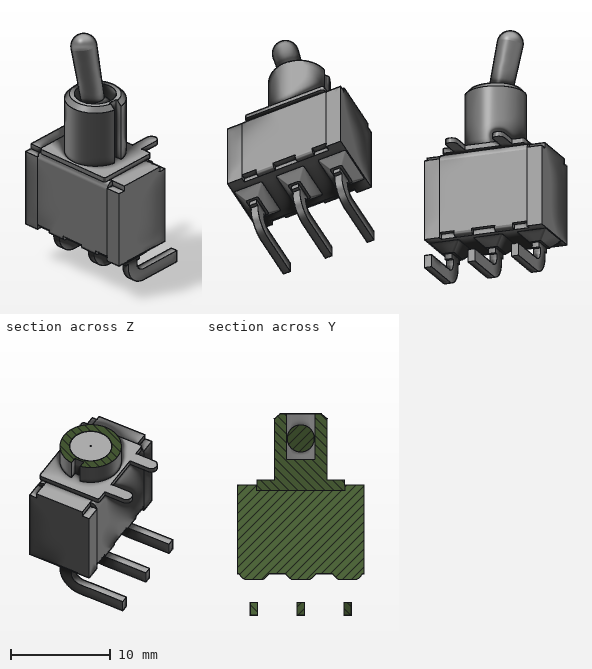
import cadquery as cq
import math

overall_height = 26.43

case_length = 12.7
case_depth = 6.87
case_bottom = 4.18
case_top = 13.1
wall_inner_x = 4.73
corner_step = 0.55

terminal_pitch = 4.7
dome_length = 3.12
dome_depth = 4.33
dome_height = 0.93
dome_inset = 0.9
dome_edge_radius = 0.26

sheet_thickness = 0.55
sheet_bend_radius = 0.8
sheet_bottom = 4.7
tab_length = 1.93
tab_x = 2.2
tab_edge_radius = 0.4
plate_length = 8.83
plate_thickness = 0.5
plate_corner_radius = 0.26
leg_x = 2.55
leg_width = 1.22
leg_tip_y = 6.15

bushing_diameter = 6.2
bushing_height = 6.63
bushing_chamfer = 0.5
bore_diameter = 4.2
keyway_width = 0.98
keyway_floor_x = 2.35

lever_tilt = 12.0
lever_tip_radius = 1.32
lever_root_radius = 1.14
lever_length = 7.5

terminal_thickness = 0.77
shoulder_width = 2.0
shoulder_height = 0.55
terminal_width = 1.3
terminal_bend_radius = 1.0
terminal_end_y = 6.58

half_depth = case_depth / 2
core_half_depth = half_depth - sheet_thickness
core_top = case_top - sheet_thickness
step_y = half_depth - sheet_bend_radius
plate_half = plate_length / 2
plate_top = case_top + plate_thickness
bushing_top = plate_top + bushing_height
dome_bottom = case_bottom - dome_height
ball_radius = bore_diameter / 2
tilt = math.radians(lever_tilt)
pivot_z = overall_height - lever_tip_radius - lever_length * math.cos(tilt)
terminal_xs = [-terminal_pitch, 0, terminal_pitch]


def block(x_range, y_range, z_range):
    """Box between two corners, given as (low, high) pairs."""
    size = [high - low for low, high in (x_range, y_range, z_range)]
    corner = (x_range[0], y_range[0], z_range[0])
    return cq.Workplane("XY").box(*size, centered=False).translate(corner)


def across(half_length, y_half, z_range):
    """Box centred on the bushing axis."""
    return block((-half_length, half_length), (-y_half, y_half), z_range)


def tapered_bar(plane, width, length):
    """Bar along the plane normal, with the dome's sloping sides as its section."""
    half_top = width / 2
    half_bottom = half_top - dome_inset
    return (
        cq.Workplane(plane)
        .polyline(
            [(-half_top, 0), (half_top, 0), (half_bottom, -dome_height), (-half_bottom, -dome_height)]
        )
        .close()
        .extrude(length / 2, both=True)
    )


def make_dome(x):
    """Tapered block with rounded slanting edges, hanging under the case."""
    dome = tapered_bar("XZ", dome_length, dome_depth).intersect(
        tapered_bar("YZ", dome_depth, dome_length)
    )
    dome = dome.edges("not(#Z)").fillet(dome_edge_radius)
    return dome.translate((x, 0, case_bottom))


def make_case():
    """Core inside the cover, two proud end walls, raised end blocks and terminal domes."""
    half_length = case_length / 2
    case = (
        across(half_length, core_half_depth, (case_bottom, core_top))
        .edges("|X and >Z")
        .fillet(sheet_bend_radius - sheet_thickness)
    )
    for side in (-1, 1):
        wall_ends = sorted((side * wall_inner_x, side * half_length))
        wall = block(wall_ends, (-half_depth, half_depth), (case_bottom, case_top - corner_step))
        block_ends = sorted((side * plate_half, side * half_length))
        raised_block = block(block_ends, (-step_y, step_y), (case_bottom, case_top))
        case = case.union(wall).union(raised_block)
    for x in terminal_xs:
        case = case.union(make_dome(x))
    return case


def make_cover():
    """Sheet bent over the core, notched at the ends around the raised blocks."""
    outside = (
        across(wall_inner_x, half_depth, (sheet_bottom, case_top))
        .edges("|X and >Z")
        .fillet(sheet_bend_radius)
    )
    inside = (
        across(wall_inner_x, core_half_depth, (sheet_bottom, core_top))
        .edges("|X and >Z")
        .fillet(sheet_bend_radius - sheet_thickness)
    )
    cover = outside.cut(inside)
    for side in (-1, 1):
        ends = sorted((side * plate_half, side * wall_inner_x))
        cover = cover.cut(block(ends, (-step_y, step_y), (core_top, case_top)))
    for x in (-tab_x, tab_x):
        tab = block(
            (x - tab_length / 2, x + tab_length / 2),
            (-half_depth, -core_half_depth),
            (case_bottom, sheet_bottom),
        )
        tab = tab.edges("|X and <Z and <Y").fillet(tab_edge_radius)
        cover = cover.union(tab).union(tab.mirror("XZ"))
    return cover


def make_plate():
    """Mounting plate with two round-ended legs pointing to +Y."""
    plate = (
        across(plate_half, half_depth, (case_top, plate_top))
        .edges("|Z")
        .fillet(plate_corner_radius)
    )
    for x in (-leg_x, leg_x):
        leg = block(
            (x - leg_width / 2, x + leg_width / 2),
            (0, leg_tip_y - leg_width / 2),
            (case_top, plate_top),
        )
        tip = (
            cq.Workplane("XY", origin=(x, leg_tip_y - leg_width / 2, case_top))
            .circle(leg_width / 2)
            .extrude(plate_thickness)
        )
        plate = plate.union(leg).union(tip)
    return plate


def make_bushing():
    """Chamfered sleeve, bored down to the bottom of the lever ball, with a keyway on +X."""
    bushing = (
        cq.Workplane("XY", origin=(0, 0, plate_top))
        .circle(bushing_diameter / 2)
        .extrude(bushing_height)
        .faces(">Z")
        .chamfer(bushing_chamfer)
    )
    bore = (
        cq.Workplane("XY", origin=(0, 0, pivot_z - ball_radius))
        .circle(bore_diameter / 2)
        .extrude(bushing_top - pivot_z + ball_radius)
    )
    keyway = block(
        (keyway_floor_x, bushing_diameter / 2),
        (-keyway_width / 2, keyway_width / 2),
        (plate_top, bushing_top),
    )
    return bushing.cut(bore).cut(keyway)


def make_frame():
    return make_cover().union(make_plate()).union(make_bushing())


def make_lever():
    """Ball and tapered round-ended shaft, tilted about the ball centre."""
    tip_45 = lever_tip_radius * math.sqrt(0.5)
    shaft = (
        cq.Workplane("XZ")
        .moveTo(0, 0)
        .lineTo(lever_root_radius, 0)
        .lineTo(lever_tip_radius, lever_length)
        .threePointArc((tip_45, lever_length + tip_45), (0, lever_length + lever_tip_radius))
        .close()
        .revolve(360, (0, 0), (0, 1))
    )
    shaft = shaft.rotate((0, 0, 0), (0, 1, 0), -lever_tilt)
    ball = cq.Workplane("XY").sphere(ball_radius)
    return ball.union(shaft).translate((0, 0, pivot_z))


def make_terminal(x):
    """Shouldered flat strip that drops from the dome and bends toward +Y along the ground."""
    outer_radius = terminal_bend_radius + terminal_width
    half_width = terminal_width / 2
    half_shoulder = shoulder_width / 2
    shoulder_bottom = dome_bottom - shoulder_height
    bend_y = half_width + terminal_bend_radius
    cos_45 = math.sqrt(0.5)
    strip = (
        cq.Workplane("YZ", origin=(x - terminal_thickness / 2, 0, 0))
        .moveTo(-half_shoulder, dome_bottom)
        .lineTo(-half_shoulder, shoulder_bottom)
        .lineTo(-half_width, shoulder_bottom)
        .lineTo(-half_width, outer_radius)
        .threePointArc(
            (bend_y - outer_radius * cos_45, outer_radius * (1 - cos_45)), (bend_y, 0)
        )
        .lineTo(terminal_end_y, 0)
        .lineTo(terminal_end_y, terminal_width)
        .lineTo(bend_y, terminal_width)
        .threePointArc(
            (bend_y - terminal_bend_radius * cos_45, outer_radius - terminal_bend_radius * cos_45),
            (half_width, outer_radius),
        )
        .lineTo(half_width, shoulder_bottom)
        .lineTo(half_shoulder, shoulder_bottom)
        .lineTo(half_shoulder, dome_bottom)
        .close()
        .extrude(terminal_thickness)
    )
    return strip


case = make_case()
frame = make_frame()
lever = make_lever()
terminals = [make_terminal(x) for x in terminal_xs]

result = cq.Compound.makeCompound(
    [body.solids().val() for body in (case, frame, lever, *terminals)]
)